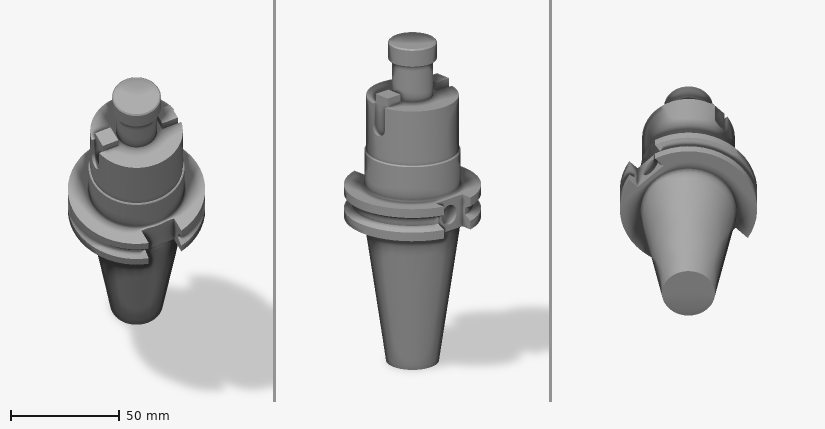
import cadquery as cq

total_height = 158.6
gauge_z = 68.4
flange_bottom_z = 71.5
flange_top_z = 87.4
shoulder_z = 105.0
seat_z = 131.8
screw_head_height = 9.2
pilot_top_z = total_height - screw_head_height

gauge_radius = 22.2
taper_end_radius = gauge_radius - gauge_z * 7 / 48
flange_radius = 31.7
collar_radius = 22.2
nose_radius = 21.4
pilot_radius = 9.5
collar_fillet = 1.0
shoulder_chamfer = 0.5

groove_center_z = (flange_bottom_z + flange_top_z) / 2
groove_floor_radius = 28.0
groove_floor_half_width = 1.7
groove_mouth_half_width = 3.6

drive_slot_width = 16.7
shallow_slot_floor_x = -25.0
deep_slot_floor_x = 22.7
index_hole_diameter = 9.5
index_hole_depth = 8.0

key_width = 8.2
key_top_z = 136.0
key_bottom_z = 116.9
key_inner_y = 11.3
key_outer_y = 19.2

screw_radius = 11.3
screw_chamfer = 0.6


def revolve_profile(profile):
    """Revolve a closed radius-height profile about the Z axis."""
    return profile.close().revolve(360, (0, 0, 0), (0, 1, 0))


def holder_blank():
    """Taper, flange, collar, nose and pilot as one turned shape."""
    profile = (
        cq.Workplane("XZ")
        .moveTo(0, 0)
        .lineTo(taper_end_radius, 0)
        .lineTo(gauge_radius, gauge_z)
        .lineTo(gauge_radius, flange_bottom_z)
        .lineTo(flange_radius, flange_bottom_z)
        .lineTo(flange_radius, flange_top_z)
        .lineTo(collar_radius + collar_fillet, flange_top_z)
        .radiusArc((collar_radius, flange_top_z + collar_fillet), collar_fillet)
        .lineTo(collar_radius, shoulder_z - shoulder_chamfer)
        .lineTo(collar_radius - shoulder_chamfer, shoulder_z)
        .lineTo(nose_radius, shoulder_z)
        .lineTo(nose_radius, seat_z)
        .lineTo(pilot_radius, seat_z)
        .lineTo(pilot_radius, pilot_top_z)
        .lineTo(0, pilot_top_z)
    )
    return revolve_profile(profile)


def gripper_groove():
    """Trapezoidal ring that cuts the groove into the flange rim."""
    profile = (
        cq.Workplane("XZ")
        .moveTo(groove_floor_radius, groove_center_z - groove_floor_half_width)
        .lineTo(flange_radius, groove_center_z - groove_mouth_half_width)
        .lineTo(flange_radius, groove_center_z + groove_mouth_half_width)
        .lineTo(groove_floor_radius, groove_center_z + groove_floor_half_width)
    )
    return revolve_profile(profile)


def drive_slot(floor_x):
    """Block that cuts a drive slot from floor_x out to the flange rim."""
    rim_x = flange_radius if floor_x > 0 else -flange_radius
    return cq.Workplane("XY").box(
        abs(rim_x - floor_x), drive_slot_width, flange_top_z - flange_bottom_z
    ).translate(((rim_x + floor_x) / 2, 0, groove_center_z))


def index_hole():
    """Blind round hole in the floor of the shallow drive slot."""
    return (
        cq.Workplane("YZ", origin=(shallow_slot_floor_x, 0, groove_center_z))
        .circle(index_hole_diameter / 2)
        .extrude(index_hole_depth)
    )


def key_shape(inner_y, outer_y):
    """Round-bottomed key spanning inner_y to outer_y on the +Y side."""
    half_width = key_width / 2
    arc_center_z = key_bottom_z + half_width
    return (
        cq.Workplane("XZ", origin=(0, outer_y, 0))
        .moveTo(-half_width, key_top_z)
        .lineTo(-half_width, arc_center_z)
        .threePointArc((0, key_bottom_z), (half_width, arc_center_z))
        .lineTo(half_width, key_top_z)
        .close()
        .extrude(outer_y - inner_y)
    )


def on_side(shape, angle):
    """Turn a shape about the Z axis."""
    return shape.rotate((0, 0, 0), (0, 0, 1), angle)


key_angles = (0, 180)


def make_holder():
    holder = holder_blank().cut(gripper_groove())
    for floor_x in (shallow_slot_floor_x, deep_slot_floor_x):
        holder = holder.cut(drive_slot(floor_x))
    holder = holder.cut(index_hole())
    for angle in key_angles:
        holder = holder.cut(on_side(key_shape(key_inner_y, nose_radius), angle))
    return holder


def make_drive_key(angle):
    return on_side(key_shape(key_inner_y, key_outer_y), angle)


def make_screw():
    """Chamfered screw head resting on the end of the pilot."""
    return (
        cq.Workplane("XY", origin=(0, 0, pilot_top_z))
        .circle(screw_radius)
        .extrude(screw_head_height)
        .edges()
        .chamfer(screw_chamfer)
    )


holder = make_holder()
drive_keys = [make_drive_key(angle) for angle in key_angles]
screw = make_screw()

result = cq.Compound.makeCompound(
    [holder.val(), *[key.val() for key in drive_keys], screw.val()]
)